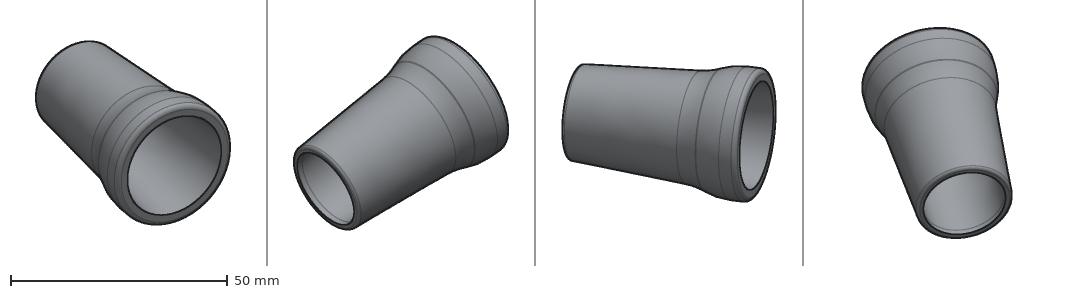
import cadquery as cq
import math

length = 43.8
cone_end = 28.65
rim_start = 39.6

tip_radius = 11.3
cone_end_radius = 13.3
rim_radius = 15.65
tip_round = 0.75
rim_round = 1.2

flare_angle = math.radians(22.5)
band_start = 33.5
band_end = 33.7

throat_radius = 9.73
throat_length = 1.5
bore_slope = (cone_end_radius - tip_radius) / cone_end
bore_end_radius = throat_radius + bore_slope * (length - throat_length)

convex_radius = (rim_start - band_end) / math.sin(flare_angle)
convex_center = rim_radius - convex_radius
band_end_radius = convex_center + convex_radius * math.cos(flare_angle)
band_start_radius = band_end_radius - (band_end - band_start) * math.tan(flare_angle)
convex_middle = (
    rim_start - convex_radius * math.sin(flare_angle / 2),
    convex_center + convex_radius * math.cos(flare_angle / 2),
)


def build_sleeve():
    """Revolve the half section of the wall around the X axis."""
    half_section = (
        cq.Workplane("XY")
        .moveTo(0, throat_radius)
        .lineTo(0, tip_radius)
        .lineTo(cone_end, cone_end_radius)
        .tangentArcPoint((band_start, band_start_radius), relative=False)
        .lineTo(band_end, band_end_radius)
        .threePointArc(convex_middle, (rim_start, rim_radius))
        .lineTo(length, rim_radius)
        .lineTo(length, bore_end_radius)
        .lineTo(throat_length, throat_radius)
        .close()
    )
    return half_section.revolve(360, (0, 0, 0), (-1, 0, 0))


def round_outer_edge(body, end_face, radius):
    """Round the larger circular edge of one end face."""
    outer_edge = cq.selectors.RadiusNthSelector(-1)
    return body.faces(end_face).edges(outer_edge).fillet(radius)


result = build_sleeve()
result = round_outer_edge(result, "<X", tip_round)
result = round_outer_edge(result, ">X", rim_round)